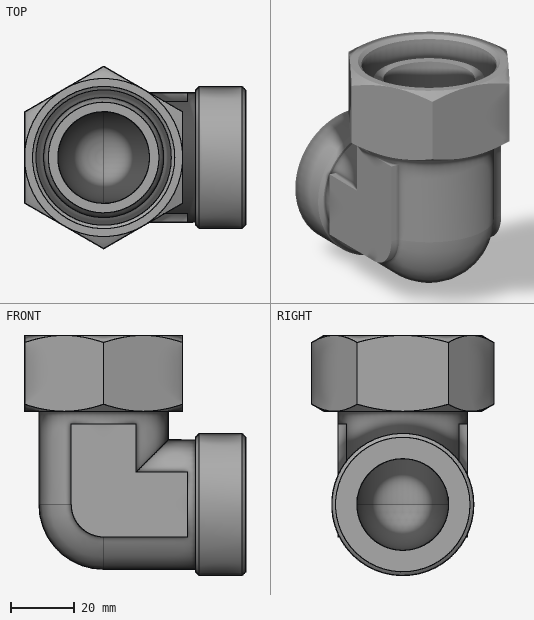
import cadquery as cq
import math

body_diameter = 41.0
bore_diameter = 29.0
body_radius = body_diameter / 2
bore_radius = bore_diameter / 2

collar_diameter = 45.0
collar_length = 16.0
collar_end = 45.0
thread_minor_diameter = 42.84
thread_pitch = 2.0
thread_depth_ratio = 0.6134
collar_chamfer = thread_depth_ratio * thread_pitch

hexagon_sides = 6
nut_across_flats = 50.0
nut_height = 24.0
nut_top = 53.5
nut_bottom = nut_top - nut_height
nut_corner_radius = nut_across_flats / 2 / math.cos(math.pi / hexagon_sides)
nut_chamfer_angle = 30.0
nut_corner_overhang = nut_corner_radius - nut_across_flats / 2
nut_chamfer_height = nut_corner_overhang * math.tan(math.radians(nut_chamfer_angle))
nut_mouth_diameter = collar_diameter
nut_mouth_chamfer = (nut_mouth_diameter - thread_minor_diameter) / 2

nose_tip_diameter = 35.0
nose_height = 6.5
nose_base_diameter = 38.0
nose_recess = 6.0
nose_top = nut_top - nose_recess
nut_floor = nose_top - nose_height

pad_half_width = body_radius / 2
pad_top = 25.5
pad_end = 26.5


def make_elbow(radius, z_end, x_end):
    """Solid elbow of round section with a spherical outer corner."""
    upright = cq.Workplane("XY").circle(radius).extrude(z_end)
    arm = cq.Workplane("YZ").circle(radius).extrude(x_end)
    corner = cq.Workplane("XY").sphere(radius)
    return upright.union(arm).union(corner)


def make_pads():
    """L-shaped slab across the full body width; only its two faces stand proud."""
    corner_offset = pad_half_width * math.cos(math.pi / 4)
    return (
        cq.Workplane("XZ")
        .moveTo(-pad_half_width, 0)
        .threePointArc((-corner_offset, -corner_offset), (0, -pad_half_width))
        .lineTo(pad_end, -pad_half_width)
        .lineTo(pad_end, pad_half_width)
        .lineTo(pad_half_width, pad_half_width)
        .lineTo(pad_half_width, pad_top)
        .lineTo(-pad_half_width, pad_top)
        .close()
        .extrude(body_radius, both=True)
    )


def make_collar():
    """Plain collar at the thread major diameter, chamfered at both ends."""
    return (
        cq.Workplane("YZ", origin=(collar_end - collar_length, 0, 0))
        .circle(collar_diameter / 2)
        .extrude(collar_length)
        .faces("<X or >X")
        .chamfer(collar_chamfer)
    )


def make_nut():
    """Hexagonal nut with corners turned off at both ends and an open threaded mouth."""
    hexagon = (
        cq.Workplane("XY", origin=(0, 0, nut_bottom))
        .polygon(hexagon_sides, 2 * nut_corner_radius)
        .extrude(nut_height)
        .rotate((0, 0, 0), (0, 0, 1), 180 / hexagon_sides)
    )
    turned_blank = (
        cq.Workplane("XZ")
        .moveTo(0, nut_bottom)
        .lineTo(nut_across_flats / 2, nut_bottom)
        .lineTo(nut_corner_radius, nut_bottom + nut_chamfer_height)
        .lineTo(nut_corner_radius, nut_top - nut_chamfer_height)
        .lineTo(nut_across_flats / 2, nut_top)
        .lineTo(0, nut_top)
        .close()
        .revolve(360, (0, 0), (0, 1))
    )
    mouth = (
        cq.Workplane("XZ")
        .moveTo(0, nut_floor)
        .lineTo(thread_minor_diameter / 2, nut_floor)
        .lineTo(thread_minor_diameter / 2, nut_top - nut_mouth_chamfer)
        .lineTo(nut_mouth_diameter / 2, nut_top)
        .lineTo(0, nut_top)
        .close()
        .revolve(360, (0, 0), (0, 1))
    )
    return hexagon.intersect(turned_blank).cut(mouth)


def make_nose():
    """Truncated cone rising from the nut floor."""
    return (
        cq.Workplane("XY", origin=(0, 0, nut_floor))
        .circle(nose_base_diameter / 2)
        .workplane(offset=nose_height)
        .circle(nose_tip_diameter / 2)
        .loft(ruled=True)
    )


body = make_elbow(body_radius, nut_floor, collar_end - collar_length)
body = body.union(make_pads()).union(make_collar()).union(make_nut()).union(make_nose())
result = body.cut(make_elbow(bore_radius, nose_top, collar_end))